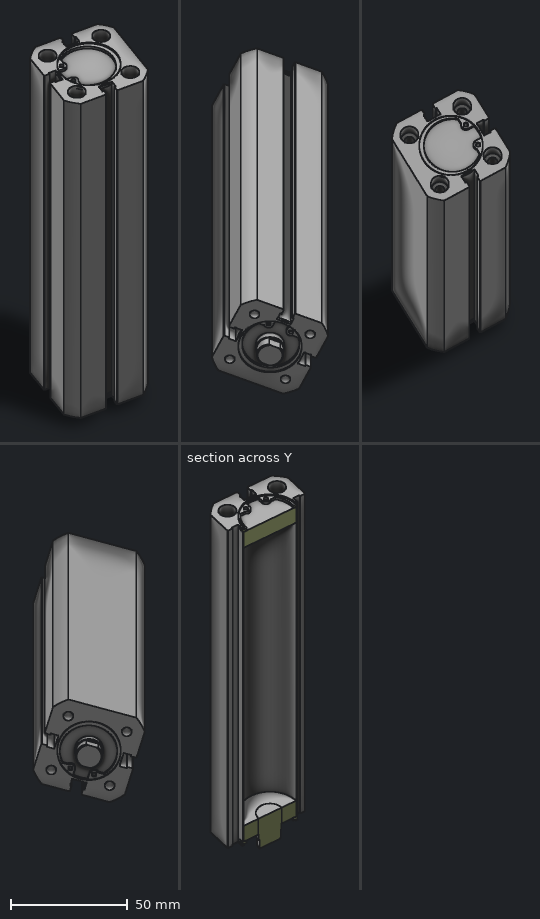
import cadquery as cq

TOTAL_LENGTH = 189.0
ROD_PROJECTION = 6.2
BODY_LENGTH = TOTAL_LENGTH - ROD_PROJECTION
BODY_WIDTH = 41.0
HALF_WIDTH = BODY_WIDTH / 2
CORNER_RADIUS = 25.5

BORE_RADIUS = 13.6
GROOVE_RADIUS = 14.4
GROOVE_OFFSET = 0.8
RING_THICKNESS = 1.3

SLOT_FLOOR = 14.5
SLOT_WIDTH = 6.5
SLOT_MOUTH_WIDTH = 5.1
SLOT_LIP = 2.6
LIP_CHAMFER = 0.4

HOLE_SPACING = 26.0
HOLE_DIAMETER = 4.2
COUNTERBORE_DIAMETER = 7.7
COUNTERBORE_DEPTH = 7.5

RING_INNER_RADIUS = 12.3
RING_INNER_Y = -0.8
RING_GAP = 6.5
EYE_RADIUS = 2.0
EYE_HOLE_DIAMETER = 1.9
EYE_Y = -10.4
TAB_RISE = 1.5

CAP_THICKNESS = 9.5

ROD_RADIUS = 6.0
ROD_END_RADIUS = 5.7
COLLAR_PROJECTION = 1.1
FLATS_START = 1.7
FLATS_WIDTH = 10.0
ROD_CHAMFER = 0.4

CAP_RECESS = GROOVE_OFFSET + RING_THICKNESS


def slot_cutter():
    """T-shaped slot on the -Y side, narrower at its mouth, with its outer edges bevelled."""
    half_slot = SLOT_WIDTH / 2
    half_mouth = SLOT_MOUTH_WIDTH / 2
    lip_back = HALF_WIDTH - SLOT_LIP
    half_outline = [
        (half_slot, -SLOT_FLOOR),
        (half_slot, -lip_back),
        (half_mouth, -lip_back),
        (half_mouth, -HALF_WIDTH + LIP_CHAMFER),
        (half_mouth + LIP_CHAMFER, -HALF_WIDTH),
    ]
    mirrored = [(-x, y) for x, y in reversed(half_outline)]
    return cq.Workplane("XY").polyline(half_outline + mirrored).close().extrude(BODY_LENGTH)


def make_housing():
    """Square profile with sensor slots on three sides, mounting holes, bore and ring grooves."""
    body = cq.Workplane("XY").rect(BODY_WIDTH, BODY_WIDTH).extrude(BODY_LENGTH)
    body = body.intersect(cq.Workplane("XY").circle(CORNER_RADIUS).extrude(BODY_LENGTH))
    slot = slot_cutter()
    for angle in (-90, 0, 90):
        body = body.cut(slot.rotate((0, 0, 0), (0, 0, 1), angle))
    body = (
        body.faces(">Z").workplane(origin=(0, 0, BODY_LENGTH))
        .rect(HOLE_SPACING, HOLE_SPACING, forConstruction=True).vertices()
        .cboreHole(HOLE_DIAMETER, COUNTERBORE_DIAMETER, COUNTERBORE_DEPTH)
    )
    body = body.cut(cq.Workplane("XY").circle(BORE_RADIUS).extrude(BODY_LENGTH))
    groove = cq.Workplane("XY").circle(GROOVE_RADIUS).extrude(RING_THICKNESS)
    for z in (GROOVE_OFFSET, BODY_LENGTH - CAP_RECESS):
        body = body.cut(groove.translate((0, 0, z)))
    return body


def ring_disc(radius):
    return cq.Workplane("XY").circle(radius).extrude(RING_THICKNESS)


def ring_tab(side, eye_x):
    """Tab on one side of the ring gap, filling the ring from its eye out to the rim."""
    tab_top = EYE_Y + TAB_RISE
    outline = [
        (side * eye_x, tab_top),
        (side * GROOVE_RADIUS, tab_top),
        (side * GROOVE_RADIUS, -GROOVE_RADIUS),
        (side * RING_GAP / 2, -GROOVE_RADIUS),
        (side * RING_GAP / 2, EYE_Y),
        (side * eye_x, EYE_Y),
    ]
    tab = cq.Workplane("XY").polyline(outline).close().extrude(RING_THICKNESS)
    eye = cq.Workplane("XY").center(side * eye_x, EYE_Y).circle(EYE_RADIUS).extrude(RING_THICKNESS)
    return tab.intersect(ring_disc(GROOVE_RADIUS)).union(eye)


def make_ring(z):
    """Open retaining ring with a pierced eye on the tab at each side of its gap."""
    eye_x = RING_GAP / 2 + EYE_RADIUS
    opening = ring_disc(RING_INNER_RADIUS).translate((0, RING_INNER_Y, 0))
    ring = ring_disc(GROOVE_RADIUS).cut(opening)
    gap = (
        cq.Workplane("XY").center(0, -GROOVE_RADIUS / 2)
        .rect(RING_GAP, GROOVE_RADIUS).extrude(RING_THICKNESS)
    )
    eye_holes = (
        cq.Workplane("XY").pushPoints([(-eye_x, EYE_Y), (eye_x, EYE_Y)])
        .circle(EYE_HOLE_DIAMETER / 2).extrude(RING_THICKNESS)
    )
    ring = ring.cut(gap)
    for side in (-1, 1):
        ring = ring.union(ring_tab(side, eye_x))
    return ring.cut(eye_holes).translate((0, 0, z))


def make_rear_cap():
    """Plain disc closing the upper end of the bore, held by the upper ring."""
    return (
        cq.Workplane("XY", origin=(0, 0, BODY_LENGTH - CAP_RECESS))
        .circle(BORE_RADIUS).extrude(-CAP_THICKNESS)
    )


def make_front_cap():
    """Disc at the lower end of the bore that guides the rod through its centre hole."""
    return (
        cq.Workplane("XY", origin=(0, 0, CAP_RECESS))
        .circle(BORE_RADIUS).circle(ROD_RADIUS).extrude(CAP_THICKNESS)
    )


def make_rod():
    """Round rod with a slimmer chamfered end that carries two wrench flats."""
    end = (
        cq.Workplane("XY", origin=(0, 0, -ROD_PROJECTION)).circle(ROD_END_RADIUS)
        .extrude(ROD_PROJECTION).faces("<Z").chamfer(ROD_CHAMFER)
    )
    flats_length = ROD_PROJECTION - FLATS_START
    for side in (-1, 1):
        flat_cutter = (
            cq.Workplane("XY", origin=(0, side * (FLATS_WIDTH / 2 + ROD_END_RADIUS / 2), -ROD_PROJECTION))
            .rect(2 * ROD_END_RADIUS, ROD_END_RADIUS).extrude(flats_length)
        )
        end = end.cut(flat_cutter)
    shaft = (
        cq.Workplane("XY", origin=(0, 0, -COLLAR_PROJECTION)).circle(ROD_RADIUS)
        .extrude(COLLAR_PROJECTION + CAP_RECESS + CAP_THICKNESS)
    )
    return end.union(shaft)


housing = make_housing()
rear_cap = make_rear_cap()
front_cap = make_front_cap()
rings = [make_ring(z) for z in (GROOVE_OFFSET, BODY_LENGTH - CAP_RECESS)]
rod = make_rod()

result = cq.Compound.makeCompound(
    [housing.val(), rear_cap.val(), front_cap.val(), *[ring.val() for ring in rings], rod.val()]
)